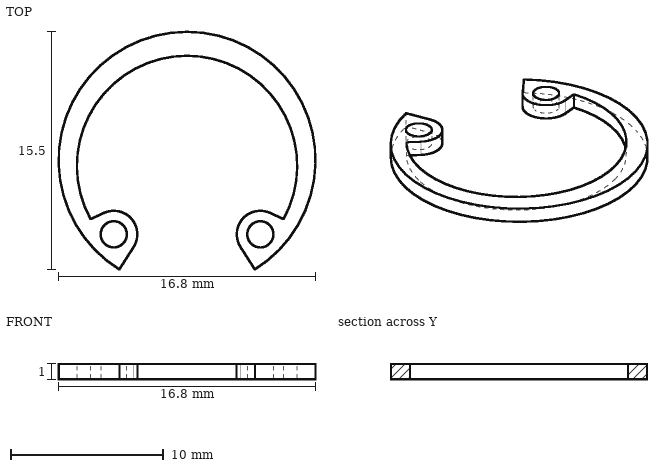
import cadquery as cq
import math

thickness = 1.0
outer_radius = 8.4
inner_radius = 7.19
inner_offset = -0.37
tip_y = -7.14
lug_x = 4.79
lug_y = -4.84
lug_radius = 1.55
hole_diameter = 1.7
root_x = 6.3

tip_x = math.sqrt(outer_radius**2 - tip_y**2)
root_y = inner_offset - math.sqrt(inner_radius**2 - root_x**2)


def tangent_point(x, y, side):
    """Point where a line from (x, y) touches the right lug circle."""
    dx = x - lug_x
    dy = y - lug_y
    angle = math.atan2(dy, dx) + side * math.acos(lug_radius / math.hypot(dx, dy))
    return lug_x + lug_radius * math.cos(angle), lug_y + lug_radius * math.sin(angle)


def mirrored(point):
    return -point[0], point[1]


tip = (tip_x, tip_y)
root = (root_x, root_y)
gap_tangent = tangent_point(*tip, -1)
root_tangent = tangent_point(*root, 1)

lug_mid = (
    lug_x - lug_radius * math.sqrt(0.5),
    lug_y + lug_radius * math.sqrt(0.5),
)

outline = (
    cq.Workplane("XY")
    .moveTo(*tip)
    .threePointArc((0, outer_radius), mirrored(tip))
    .lineTo(*mirrored(gap_tangent))
    .threePointArc(mirrored(lug_mid), mirrored(root_tangent))
    .lineTo(*mirrored(root))
    .threePointArc((0, inner_offset + inner_radius), root)
    .lineTo(*root_tangent)
    .threePointArc(lug_mid, gap_tangent)
    .close()
)
ring = outline.extrude(thickness)

plier_holes = (
    cq.Workplane("XY")
    .pushPoints([(-lug_x, lug_y), (lug_x, lug_y)])
    .circle(hole_diameter / 2)
    .extrude(thickness)
)

result = ring.cut(plier_holes)